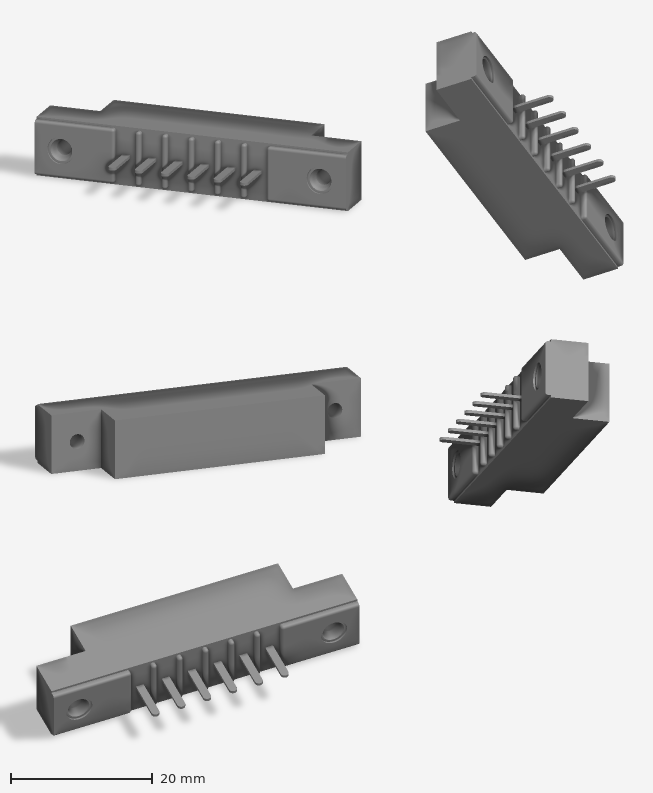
import cadquery as cq

LENGTH = 46.8
HEIGHT = 8.7
EAR_DEPTH = 5.47
BODY_DEPTH = 10.9
BODY_LENGTH = 31.72

PIN_COUNT = 6
PIN_SPAN = 19.8
PIN_WIDTH = 1.15
PIN_THICKNESS = 0.4
PIN_REACH = 6.2

SHANK_WIDTH = 2.45
SHANK_DEPTH = EAR_DEPTH

RIB_WIDTH = 0.8
RAISED_HEIGHT = 8.05
RAISED_DEPTH = 0.85
EDGE_RADIUS = 0.395

HOLE_SPACING = 38.98
BUSHING_DIAMETER = 4.0
BUSHING_RECESS = 0.3
MOUTH_DIAMETER = 3.28
BORE_DIAMETER = 2.2
MOUTH_DEPTH = 1.25

PIN_PITCH = PIN_SPAN / (PIN_COUNT - 1)
PAD_INNER_X = PIN_COUNT / 2 * PIN_PITCH - RIB_WIDTH / 2
PAD_LENGTH = LENGTH / 2 - PAD_INNER_X
PIN_XS = [(i - (PIN_COUNT - 1) / 2) * PIN_PITCH for i in range(PIN_COUNT)]
RIB_XS = [(i - (PIN_COUNT - 2) / 2) * PIN_PITCH for i in range(PIN_COUNT - 1)]
HOLE_XS = [-HOLE_SPACING / 2, HOLE_SPACING / 2]
BUSHING_FRONT_Y = -RAISED_DEPTH + BUSHING_RECESS
BUSHING_BACK_Y = EAR_DEPTH


def block(x_size, y_start, y_end, z_size):
    """Box centred on X and Z that spans y_start to y_end."""
    return (
        cq.Workplane("XY")
        .box(x_size, y_end - y_start, z_size)
        .translate((0, (y_start + y_end) / 2, 0))
    )


def rib(x):
    """Upright rib, rounded along all its free edges."""
    body = block(RIB_WIDTH, -RAISED_DEPTH, 0, RAISED_HEIGHT)
    body = body.edges("|Y").fillet(EDGE_RADIUS)
    body = body.faces("<Y").edges().fillet(EDGE_RADIUS)
    return body.translate((x, 0, 0))


def left_pad():
    """Raised mounting pad, rounded on all but its outer end."""
    pad = block(PAD_LENGTH, -RAISED_DEPTH, 0, RAISED_HEIGHT)
    pad = pad.edges("|Y and >X").fillet(EDGE_RADIUS)
    pad = pad.faces("<Y").edges("not <X").fillet(EDGE_RADIUS)
    return pad.translate((-(LENGTH - PAD_LENGTH) / 2, 0, 0))


def pin_shank(x):
    """Wide part of a pin, which is also the shape of its pocket."""
    return block(SHANK_WIDTH, 0, SHANK_DEPTH, PIN_THICKNESS).translate((x, 0, 0))


def make_housing():
    housing = block(LENGTH, 0, EAR_DEPTH, HEIGHT)
    housing = housing.union(block(BODY_LENGTH, 0, BODY_DEPTH, HEIGHT))
    pad = left_pad()
    housing = housing.union(pad).union(pad.mirror("YZ"))
    for x in RIB_XS:
        housing = housing.union(rib(x))
    for x in PIN_XS:
        housing = housing.cut(pin_shank(x))
    for x in HOLE_XS:
        hole = (
            cq.Workplane("XZ")
            .circle(BUSHING_DIAMETER / 2)
            .extrude(RAISED_DEPTH + EAR_DEPTH)
            .translate((x, EAR_DEPTH, 0))
        )
        housing = housing.cut(hole)
    return housing


def make_bushing(x):
    """Bushing with a bore that opens into a wide conical mouth at the front."""
    return (
        cq.Workplane("XY")
        .moveTo(MOUTH_DIAMETER / 2, BUSHING_FRONT_Y)
        .lineTo(BUSHING_DIAMETER / 2, BUSHING_FRONT_Y)
        .lineTo(BUSHING_DIAMETER / 2, BUSHING_BACK_Y)
        .lineTo(BORE_DIAMETER / 2, BUSHING_BACK_Y)
        .lineTo(BORE_DIAMETER / 2, BUSHING_FRONT_Y + MOUTH_DEPTH)
        .close()
        .revolve(360, (0, 0, 0), (0, 1, 0))
        .translate((x, 0, 0))
    )


def make_pin(x):
    """Flat pin: a narrow tail with a fully rounded tip, on a wide shank."""
    tip_radius = PIN_WIDTH / 2
    tail = (
        cq.Workplane("XY")
        .moveTo(-tip_radius, 0)
        .lineTo(-tip_radius, tip_radius - PIN_REACH)
        .threePointArc((0, -PIN_REACH), (tip_radius, tip_radius - PIN_REACH))
        .lineTo(tip_radius, 0)
        .close()
        .extrude(PIN_THICKNESS / 2, both=True)
    )
    return tail.translate((x, 0, 0)).union(pin_shank(x))


housing = make_housing()
bushings = [make_bushing(x) for x in HOLE_XS]
pins = [make_pin(x) for x in PIN_XS]

result = cq.Compound.makeCompound(
    [housing.val(), *[bushing.val() for bushing in bushings], *[pin.val() for pin in pins]]
)